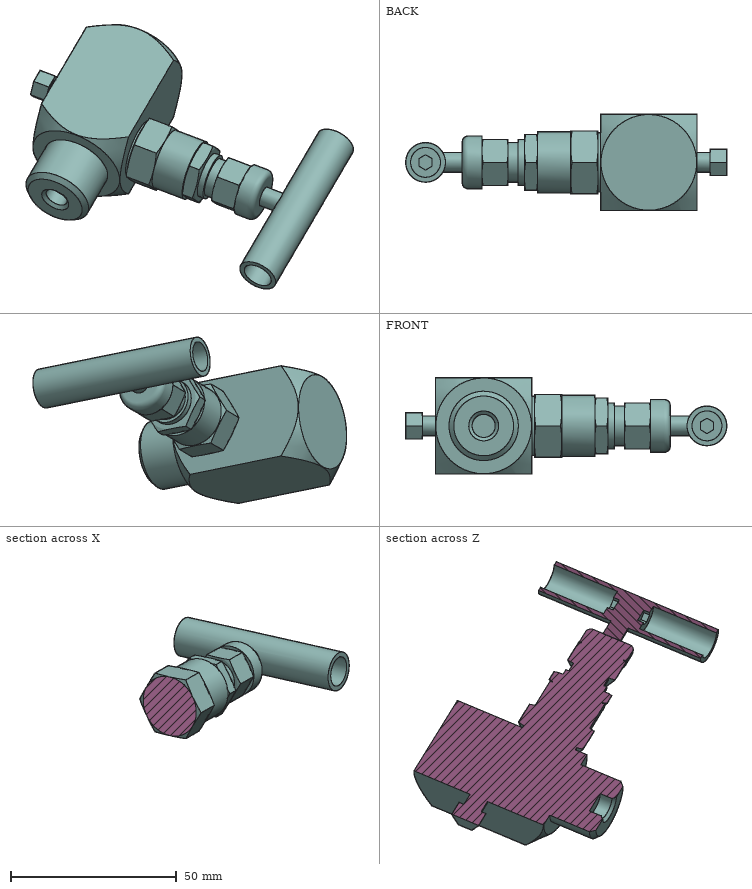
import cadquery as cq
import math


block_width = 29.1
block_length = 44.0
block_end_circle = 28.9

port_diameter = 21.0
port_length = 14.9
port_chamfer = 1.5
port_bore = 7.0
port_bore_depth = 4.9
port_bore_mouth = 9.0

plug_diameter = 6.0
plug_length = 9.0
plug_head_length = 5.0
plug_head_flats = 8.0

valve_axis_y = -9.0
collar_diameter = 18.0
collar_length = 0.8
bonnet_nut_flats = 19.0
bonnet_nut_length = 8.2
barrel_diameter = 18.6
barrel_length = 10.0
lock_nut_flats = 17.0
lock_nut_length = 4.0
shoulder_diameter = 14.0
shoulder_length = 1.9
neck_diameter = 12.0
neck_length = 3.0
gland_nut_flats = 14.0
gland_nut_length = 7.9
cap_diameter = 16.0
cap_length = 6.0
cap_fillet = 1.8
nut_chamfer_angle = 15.0

stem_diameter = 6.0
handle_diameter = 12.0
handle_bore = 9.0
handle_length = 55.0
handle_bore_depth = 21.3
handle_reach = 52.9
key_flats = 4.0
key_depth = 1.9

block_side_x = block_width / 2
block_front_y = -block_length / 2
port_face_y = block_front_y - port_length
handle_x = block_side_x + handle_reach
cap_face_x = block_side_x + sum([
    collar_length, bonnet_nut_length, barrel_length, lock_nut_length,
    shoulder_length, neck_length, gland_nut_length, cap_length,
])


def across_corners(flats):
    """Corner-to-corner size of a hexagon with the given distance across flats."""
    return flats / math.cos(math.radians(30))


def rod_x(x, y, diameter, length):
    """Round bar along +X from the given start."""
    return cq.Workplane("YZ", origin=(x, y, 0)).circle(diameter / 2).extrude(length)


def hex_x(x, y, flats, length):
    """Hexagonal bar along +X with flats facing up and down."""
    return cq.Workplane("YZ", origin=(x, y, 0)).polygon(6, across_corners(flats)).extrude(length)


def rod_y(y, x, diameter, length):
    """Round bar along +Y from the given start."""
    return cq.Workplane("XZ", origin=(x, y, 0)).circle(diameter / 2).extrude(-length)


def chamfered_nut(x, flats, length):
    """Hexagonal nut on the valve axis, its corners turned off by a cone at each end."""
    face_radius = flats / 2
    corner_radius = across_corners(flats) / 2
    chamfer_length = (corner_radius - face_radius) * math.tan(math.radians(nut_chamfer_angle))
    blank = (
        rod_x(x, valve_axis_y, 2 * corner_radius, length)
        .faces("<X or >X")
        .chamfer(chamfer_length, corner_radius - face_radius)
    )
    return hex_x(x, valve_axis_y, flats, length).intersect(blank)


def make_block():
    """Square block with both ends turned to a 45 degree cone."""
    block = cq.Workplane("XY").box(block_width, block_length, block_width)
    corner_radius = block_width / math.sqrt(2)
    blank = (
        rod_y(block_front_y, 0, 2 * corner_radius, block_length)
        .faces("<Y or >Y")
        .chamfer(corner_radius - block_end_circle / 2)
    )
    return block.intersect(blank)


def make_port():
    port = rod_y(port_face_y, 0, port_diameter, port_length)
    return port.faces("<Y").chamfer(port_chamfer)


def make_port_bore():
    """Blind bore in the port face with a 45 degree mouth."""
    bore = rod_y(port_face_y, 0, port_bore, port_bore_depth)
    mouth_depth = (port_bore_mouth - port_bore) / 2
    mouth = cq.Solid.makeCone(
        port_bore_mouth / 2, port_bore / 2, mouth_depth,
        cq.Vector(0, port_face_y, 0), cq.Vector(0, 1, 0),
    )
    return bore.union(cq.Workplane(mouth))


def make_bleed_plug():
    head_x = -block_side_x - plug_length
    head = hex_x(head_x, 0, plug_head_flats, plug_head_length)
    return head.union(rod_x(head_x, 0, plug_diameter, plug_length))


def make_bonnet():
    """Bonnet built outward from the block, section by section."""
    x = block_side_x
    bonnet = rod_x(x, valve_axis_y, collar_diameter, collar_length)
    x += collar_length
    bonnet = bonnet.union(chamfered_nut(x, bonnet_nut_flats, bonnet_nut_length))
    x += bonnet_nut_length
    bonnet = bonnet.union(rod_x(x, valve_axis_y, barrel_diameter, barrel_length))
    x += barrel_length
    bonnet = bonnet.union(chamfered_nut(x, lock_nut_flats, lock_nut_length))
    x += lock_nut_length
    bonnet = bonnet.union(rod_x(x, valve_axis_y, shoulder_diameter, shoulder_length))
    x += shoulder_length
    bonnet = bonnet.union(rod_x(x, valve_axis_y, neck_diameter, neck_length))
    x += neck_length
    bonnet = bonnet.union(chamfered_nut(x, gland_nut_flats, gland_nut_length))
    x += gland_nut_length
    cap = rod_x(x, valve_axis_y, cap_diameter, cap_length).faces(">X").edges().fillet(cap_fillet)
    return bonnet.union(cap)


def make_valve_body():
    body = make_block().union(make_port()).union(make_bleed_plug()).union(make_bonnet())
    return body.cut(make_port_bore())


def make_handle():
    """Cross bar bored at both ends, a hexagonal key socket in each bore floor, and the stem."""
    near_end_y = valve_axis_y - handle_length / 2
    handle = rod_y(near_end_y, handle_x, handle_diameter, handle_length)
    handle = handle.union(rod_x(cap_face_x, valve_axis_y, stem_diameter, handle_x - cap_face_x))
    recess = rod_y(near_end_y, handle_x, handle_bore, handle_bore_depth)
    socket = (
        cq.Workplane("XZ", origin=(handle_x, near_end_y + handle_bore_depth, 0))
        .transformed(rotate=(0, 0, 90))
        .polygon(6, across_corners(key_flats))
        .extrude(-key_depth)
    )
    recess = recess.union(socket)
    far_recess = recess.mirror("XZ", (0, valve_axis_y, 0))
    return handle.cut(recess).cut(far_recess)


valve_body = make_valve_body()
handle = make_handle()
result = cq.Compound.makeCompound([valve_body.val(), handle.val()])